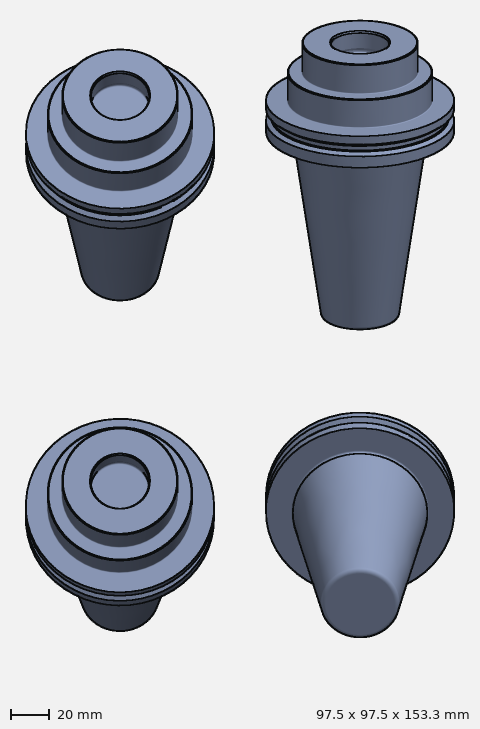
import cadquery as cq
import math


gauge_diameter = 69.85
taper_ratio = 7 / 24
shank_length = 101.75
shank_end_fillet = 2.5

neck_top = 1.5
neck_bottom = -0.4
neck_relief_depth = 0.2
neck_runout_height = 0.6
neck_fillet = 1

flange_diameter = 97.5
flange_top = 19.1
groove_centre = 11.1
groove_floor_diameter = 91.4
groove_floor_width = 3.2
groove_corner_fillet = 0.7
groove_flank_angle = 30

nose_top = 51.5
lower_collar_diameter = 75
lower_collar_top = 35
upper_collar_diameter = 60
collar_chamfer = 0.5
collar_foot_fillet = 0.5

bore_diameter = 30
bore_depth = 12
mouth_chamfer_height = 1
mouth_chamfer_angle = 30
undercut_depth = 0.3
undercut_length = 2.5
undercut_runout_angle = 15
undercut_floor_fillet = 0.8


def shank():
    """Taper rounded at its small end, with a shallow relief filleted into the flange."""
    gauge_radius = gauge_diameter / 2
    end_radius = gauge_radius - shank_length * taper_ratio / 2
    taper_top_radius = gauge_radius + neck_bottom * taper_ratio / 2
    neck_radius = gauge_radius - neck_relief_depth
    profile = (
        cq.Workplane("XZ")
        .moveTo(0, -shank_length)
        .lineTo(end_radius, -shank_length)
        .lineTo(taper_top_radius, neck_bottom)
        .lineTo(neck_radius, neck_bottom + neck_runout_height)
        .lineTo(neck_radius, neck_top - neck_fillet)
        .radiusArc((neck_radius + neck_fillet, neck_top), neck_fillet)
        .lineTo(0, neck_top)
        .close()
    )
    return profile.revolve().faces("<Z").edges().fillet(shank_end_fillet)


def flange():
    """Disc with a trapezoidal groove around its rim, rounded at the groove floor."""
    rim_radius = flange_diameter / 2
    floor_radius = groove_floor_diameter / 2
    floor_half_width = groove_floor_width / 2
    flank_rise = (rim_radius - floor_radius) * math.tan(math.radians(groove_flank_angle))
    mouth_half_width = floor_half_width + flank_rise
    profile = (
        cq.Workplane("XZ")
        .moveTo(0, neck_top)
        .lineTo(rim_radius, neck_top)
        .lineTo(rim_radius, groove_centre - mouth_half_width)
        .lineTo(floor_radius, groove_centre - floor_half_width)
        .lineTo(floor_radius, groove_centre + floor_half_width)
        .lineTo(rim_radius, groove_centre + mouth_half_width)
        .lineTo(rim_radius, flange_top)
        .lineTo(0, flange_top)
        .close()
    )
    groove_floor = cq.selectors.RadiusNthSelector(0)
    disc = profile.revolve()
    return disc.edges(groove_floor).fillet(groove_corner_fillet)


def collar(diameter, bottom, top):
    """Cylinder with a chamfered top edge and a small concave fillet at its foot."""
    radius = diameter / 2
    profile = (
        cq.Workplane("XZ")
        .moveTo(0, bottom)
        .lineTo(radius + collar_foot_fillet, bottom)
        .radiusArc((radius, bottom + collar_foot_fillet), collar_foot_fillet)
        .lineTo(radius, top - collar_chamfer)
        .lineTo(radius - collar_chamfer, top)
        .lineTo(0, top)
        .close()
    )
    return profile.revolve()


def bore():
    """Cutter for the blind bore: chamfered mouth, straight wall and rounded undercut."""
    bore_radius = bore_diameter / 2
    undercut_radius = bore_radius + undercut_depth
    runout_height = undercut_depth / math.tan(math.radians(undercut_runout_angle))
    mouth_radius = bore_radius + mouth_chamfer_height * math.tan(math.radians(mouth_chamfer_angle))
    floor_height = nose_top - bore_depth
    lip_height = floor_height + undercut_length
    profile = (
        cq.Workplane("XZ")
        .moveTo(0, floor_height)
        .lineTo(undercut_radius, floor_height)
        .lineTo(undercut_radius, lip_height - runout_height)
        .lineTo(bore_radius, lip_height)
        .lineTo(bore_radius, nose_top - mouth_chamfer_height)
        .lineTo(mouth_radius, nose_top)
        .lineTo(0, nose_top)
        .close()
    )
    return profile.revolve().faces("<Z").edges().fillet(undercut_floor_fillet)


body = shank().union(flange())
body = body.union(collar(lower_collar_diameter, flange_top, lower_collar_top))
body = body.union(collar(upper_collar_diameter, lower_collar_top, nose_top))
result = body.cut(bore())